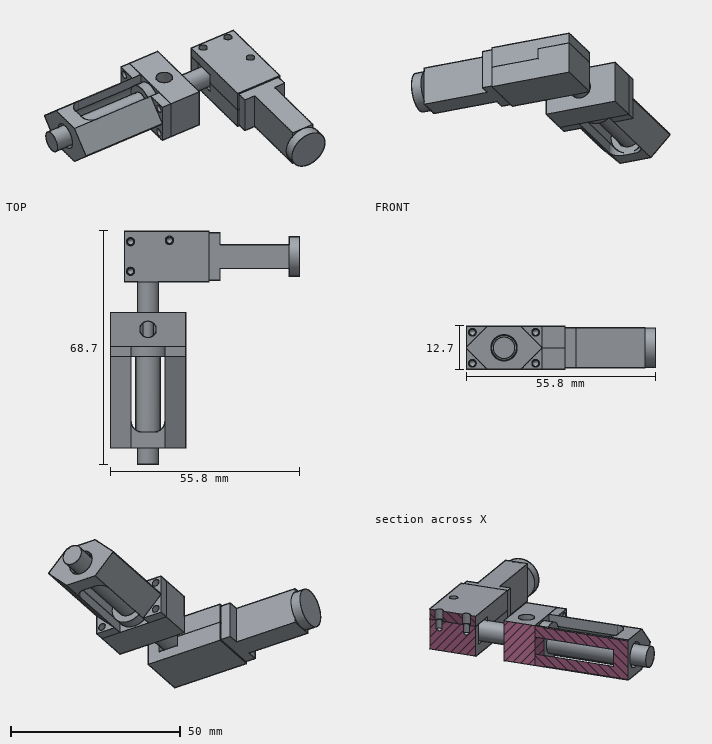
import cadquery as cq
import math


thickness = 12.7
half_thickness = thickness / 2
rod_diameter = 6.3
tip_half_angle = 59.0

block_width = 22.25
block_length = 10.0
cross_hole_diameter = 4.8
guide_bore_diameter = 4.8
socket_depth = 2.05
flange_thickness = 3.0
yoke_end_y = -29.95
flat_width = 9.9
side_flat_height = 0.3
window_end_y = -25.2
window_corner_radius = 3.15
exit_hole_diameter = 7.75
yoke_screw_spacing_x = 18.6
yoke_screw_spacing_z = 9.15
yoke_clearance_diameter = 2.3
yoke_tap_diameter = 1.8
yoke_tap_depth = 5.5

collar_diameter = 11.55
barrel_diameter = 7.3
barrel_end_y = -27.8
plunger_tip_y = -34.75
spigot_diameter = 3.1

housing_left = -6.95
housing_right = 18.0
housing_front = 19.0
housing_back = 33.9
housing_depth = housing_back - housing_front
housing_center_y = (housing_front + housing_back) / 2
slot_width = rod_diameter
slot_wall = -slot_width / 2 - housing_left
slot_depth = housing_depth - slot_wall
lid_tap_diameter = 1.8
lid_tap_depth = 2.75
lid_screws = [(-5.15, 30.85, 2.4), (-5.15, 22.1, 2.4), (6.3, 31.25, 2.5)]

handle_height = 11.8
handle_flange_width = 14.1
handle_flange_length = 3.2
bar_width = 7.1
bar_end = 41.55
knob_diameter = 11.7
knob_end = 44.65


def box(x_range, y_range, z_range):
    """Box between two X, two Y and two Z positions."""
    lengths = [high - low for low, high in (x_range, y_range, z_range)]
    corner = (x_range[0], y_range[0], z_range[0])
    return cq.Workplane("XY").box(*lengths, centered=False).translate(corner)


def cylinder_y(diameter, y_start, y_end, x=0, z=0):
    """Cylinder parallel to Y between two Y positions."""
    start = cq.Vector(x, y_start, z)
    axis = cq.Vector(0, y_end - y_start, 0)
    return cq.Workplane(cq.Solid.makeCylinder(diameter / 2, axis.Length, start, axis))


def drill(diameter, depth, start, direction):
    """Cutting tool for a blind hole with a conical bottom."""
    point = cq.Vector(*start)
    axis = cq.Vector(*direction)
    tip_length = diameter / 2 / math.tan(math.radians(tip_half_angle))
    shank = cq.Solid.makeCylinder(diameter / 2, depth, point, axis)
    tip = cq.Solid.makeCone(diameter / 2, 0, tip_length, point + axis * depth, axis)
    return cq.Workplane(shank).union(cq.Workplane(tip))


yoke_screws = [
    (side * yoke_screw_spacing_x / 2, level * yoke_screw_spacing_z / 2)
    for side in (-1, 1)
    for level in (-1, 1)
]


def make_guide_block():
    """Block with an axial bore, a cross hole from the top into it, and four tapped holes."""
    half_width = block_width / 2
    block = box((-half_width, half_width), (0, block_length), (-half_thickness, half_thickness))
    block = block.cut(cylinder_y(guide_bore_diameter, 0, block_length))
    block = block.cut(cylinder_y(rod_diameter, block_length - socket_depth, block_length))
    cross_hole = (
        cq.Workplane("XY")
        .center(0, block_length / 2)
        .circle(cross_hole_diameter / 2)
        .extrude(half_thickness)
    )
    block = block.cut(cross_hole)
    for x, z in yoke_screws:
        block = block.cut(drill(yoke_tap_diameter, yoke_tap_depth, (x, 0, z), (0, 1, 0)))
    return block


def make_yoke():
    """Screwed flange with a hollow hexagonal body, open through a window above and below."""
    half_width = block_width / 2
    half_flat = flat_width / 2
    half_side = side_flat_height / 2
    flange = box((-half_width, half_width), (-flange_thickness, 0), (-half_thickness, half_thickness))
    hexagon = (
        cq.Workplane("XZ")
        .moveTo(-half_flat, half_thickness)
        .lineTo(half_flat, half_thickness)
        .lineTo(half_width, half_side)
        .lineTo(half_width, -half_side)
        .lineTo(half_flat, -half_thickness)
        .lineTo(-half_flat, -half_thickness)
        .lineTo(-half_width, -half_side)
        .lineTo(-half_width, half_side)
        .close()
        .extrude(-yoke_end_y)
    )
    window = box((-half_flat, half_flat), (window_end_y, 0), (-half_thickness, half_thickness))
    window = window.edges("|Z and <Y").fillet(window_corner_radius)
    yoke = (
        flange.union(hexagon)
        .cut(window)
        .cut(cylinder_y(collar_diameter, 0, window_end_y))
        .cut(cylinder_y(exit_hole_diameter, window_end_y, yoke_end_y))
    )
    for x, z in yoke_screws:
        yoke = yoke.cut(cylinder_y(yoke_clearance_diameter, 0, -flange_thickness, x, z))
    return yoke


def make_plunger():
    """Stepped shaft: spigot, collar, barrel and a tip that leaves the yoke."""
    return (
        cylinder_y(spigot_diameter, 0, block_length - socket_depth)
        .union(cylinder_y(collar_diameter, -flange_thickness, 0))
        .union(cylinder_y(barrel_diameter, barrel_end_y, -flange_thickness))
        .union(cylinder_y(rod_diameter, plunger_tip_y, barrel_end_y))
    )


def make_support_rod():
    """Plain rod from the guide block into the slot of the clamp housing."""
    return cylinder_y(rod_diameter, block_length - socket_depth, housing_front + slot_depth)


def clamp_base_blank():
    """Solid lower part of the housing, high on the left of the slot and half high on the right."""
    left_part = box(
        (housing_left, slot_width / 2),
        (housing_front, housing_back),
        (-half_thickness, slot_width / 2),
    )
    right_part = box(
        (slot_width / 2, housing_right),
        (housing_front, housing_back),
        (-half_thickness, 0),
    )
    return left_part.union(right_part)


def make_clamp_base():
    """Stepped base with the rod slot and the tapped holes."""
    half_slot = slot_width / 2
    slot = box((-half_slot, half_slot), (housing_front, housing_front + slot_depth), (-half_slot, half_slot))
    base = clamp_base_blank().cut(slot)
    for x, y, _ in lid_screws:
        joint_z = half_slot if x < half_slot else 0
        base = base.cut(drill(lid_tap_diameter, lid_tap_depth, (x, y, joint_z), (0, 0, -1)))
    return base


def make_clamp_lid():
    """Upper part of the housing, filling the space above the stepped base."""
    lid = box((housing_left, housing_right), (housing_front, housing_back), (-half_thickness, half_thickness))
    lid = lid.cut(clamp_base_blank())
    for x, y, diameter in lid_screws:
        hole = cq.Workplane("XY").center(x, y).circle(diameter / 2).extrude(half_thickness)
        lid = lid.cut(hole)
    return lid


def make_handle():
    """Flange against the housing and a rectangular bar."""
    flange = cq.Workplane("YZ", origin=(housing_right, housing_center_y, 0))
    flange = flange.rect(handle_flange_width, handle_height).extrude(handle_flange_length)
    bar = cq.Workplane("YZ", origin=(housing_right, housing_center_y, 0))
    bar = bar.rect(bar_width, handle_height).extrude(bar_end - housing_right)
    return flange.union(bar)


def make_knob():
    """Disc at the end of the handle bar."""
    disc = cq.Workplane("YZ", origin=(bar_end, housing_center_y, 0))
    return disc.circle(knob_diameter / 2).extrude(knob_end - bar_end)


guide_block = make_guide_block()
yoke = make_yoke()
plunger = make_plunger()
support_rod = make_support_rod()
clamp_base = make_clamp_base()
clamp_lid = make_clamp_lid()
handle = make_handle()
knob = make_knob()

result = cq.Compound.makeCompound([
    guide_block.val(),
    yoke.val(),
    plunger.val(),
    support_rod.val(),
    clamp_base.val(),
    clamp_lid.val(),
    handle.val(),
    knob.val(),
])